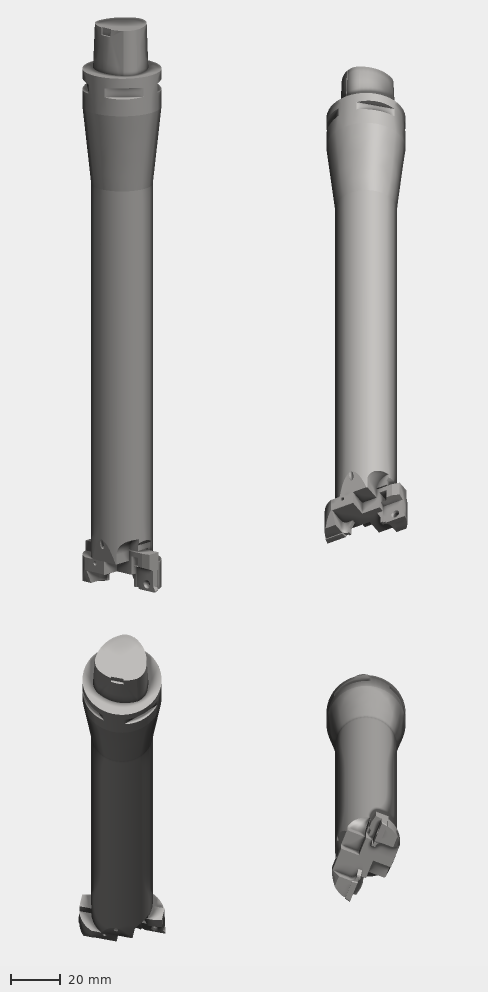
import cadquery as cq
import math

STATION_ANGLES = (0, 180)
CLEAR = 47.0

TOTAL_HEIGHT = 235.0
BAR_DIAMETER = 25.0
COLLAR_DIAMETER = 32.0
BAR_BOTTOM = 12.0
CONE_BOTTOM = 168.3
COLLAR_BOTTOM = 200.7
COLLAR_TOP = 216.5
BAR_RADIUS = BAR_DIAMETER / 2
COLLAR_RADIUS = COLLAR_DIAMETER / 2

TAPER_WIDTH = 22.3
TAPER_TOP_WIDTH = 21.0
LOBE_CENTRE_RATIO = 0.27
LOBE_RADIUS_RATIO = 0.26
LOBE_ANGLES = (90, 210, 330)
ARC_HALF_SPAN = 30
KEY_WIDTH = 5.2
KEY_HEIGHT = 3.0
KEY_FLOOR = 9.0

NOTCH_ANGLES = (45, 135, 225, 315)
NOTCH_TOP = 212.5
NOTCH_BOTTOM = 207.7
NOTCH_DRAFT = 0.5
NOTCH_FLOOR = 13.9

FLAT_TOP = 21.5
FLAT_BOTTOM_DISTANCE = 10.8
COOLANT_DIAMETER = 1.9
COOLANT_Z = 19.5
COOLANT_TILT = 55.0

POCKET_WALL = 6.5
POCKET_RADIUS = 5.9
POCKET_ARC_Z = 16.2
RELIEF_X = 11.3
RELIEF_SIDE = 4.7
RELIEF_TOP = 21.0
RELIEF_SLOPE_BOTTOM = 19.3
SLOT_TOP = 17.0

CARTRIDGE_RADIUS = 11.8
CARTRIDGE_OFFSET = 5.6
CARTRIDGE_BOTTOM = 0.7
CARTRIDGE_HALF_WIDTH = 10.8
CHAMFER_TOP = 6.5
BOTTOM_HALF_WIDTH = 8.0
ARCH_TOP = 6.3
ARCH_TOP_HALF_WIDTH = 5.5
ARCH_BEND_Z = 3.3
ARCH_HALF_WIDTH = 7.0
LEG_SCOOP_X = 9.6
LEG_SCOOP_Y = 1.2
LEG_SCOOP_RADIUS = 2.0
RIB_FRONT = -0.5
RIM_WIDTH = 2.5
GULLET_WALL = 8.0
SEAT_TOP = 9.0
SEAT_SLOPE_TOP = 10.3
SCREW_HOLE_DIAMETER = 1.6
SCREW_HOLE_X = 5.0
SCREW_HOLE_Z = 10.3
SCREW_HOLE_DEPTH = 2.4

TONGUE_FRONT = -3.0
TONGUE_TIP_FRONT = -2.4
TONGUE_BACK = 3.0
TONGUE_BEND = 13.6
TONGUE_TIP = 17.0
TONGUE_TOP = 16.2
TONGUE_NOTCH_END = 11.3
TONGUE_NOTCH_DEPTH = 4.7
TONGUE_NOTCH_BOTTOM = 9.9
TONGUE_NOTCH_TOP = 14.0

CUTTING_DIAMETER = 36.0
INSERT_TIP = CUTTING_DIAMETER / 2
INSERT_SIDE = 9.6
INSERT_CORNER_RADIUS = 0.5
INSERT_THICKNESS = 2.4
INSERT_RELIEF = 7.0
INSERT_HOLE_DIAMETER = 2.5
INSERT_SINK_DIAMETER = 3.5
INSERT_SINK_ANGLE = 60.0


def block(x0, x1, y0, y1, z0, z1):
    """Axis-aligned box between the given limits."""
    return cq.Workplane("XY").box(x1 - x0, y1 - y0, z1 - z0, centered=False).translate((x0, y0, z0))


def prism_along_y(points, y0, y1):
    """Extrude an (x, z) outline from y0 to y1."""
    return cq.Workplane("XZ", origin=(0, y0, 0)).polyline(points).close().extrude(y0 - y1)


def prism_along_x(points, x0, x1):
    """Extrude a (y, z) outline from x0 to x1."""
    return cq.Workplane("YZ", origin=(x0, 0, 0)).polyline(points).close().extrude(x1 - x0)


def about_axis(body, angle):
    return body.rotate((0, 0, 0), (0, 0, 1), angle)



def lobed_outline(plane, width):
    """Constant-width outline: a lobe arc at each lobe, a flank arc opposite to it."""
    lobe_centre = LOBE_CENTRE_RATIO * width
    lobe_radius = LOBE_RADIUS_RATIO * width
    flank_radius = width - lobe_radius

    def on_arc(lobe_angle, radius, direction):
        lobe = math.radians(lobe_angle)
        normal = math.radians(direction)
        return (lobe_centre * math.cos(lobe) + radius * math.cos(normal),
                lobe_centre * math.sin(lobe) + radius * math.sin(normal))

    outline = plane.moveTo(*on_arc(LOBE_ANGLES[0], lobe_radius, LOBE_ANGLES[0] - ARC_HALF_SPAN))
    for angle in LOBE_ANGLES:
        lobe_end = angle + ARC_HALF_SPAN
        outline = outline.threePointArc(on_arc(angle, lobe_radius, angle),
                                        on_arc(angle, lobe_radius, lobe_end))
        flank_middle = lobe_end + ARC_HALF_SPAN
        flank_end = flank_middle + ARC_HALF_SPAN
        across = flank_middle + 180
        outline = outline.threePointArc(on_arc(across, flank_radius, flank_middle),
                                        on_arc(across, flank_radius, flank_end))
    return outline.close()


def make_taper():
    base = lobed_outline(cq.Workplane("XY", origin=(0, 0, COLLAR_TOP)), TAPER_WIDTH)
    top_plane = base.workplane(offset=TOTAL_HEIGHT - COLLAR_TOP)
    taper = lobed_outline(top_plane, TAPER_TOP_WIDTH).loft(ruled=True)
    key = block(-KEY_WIDTH / 2, KEY_WIDTH / 2, -CLEAR, -KEY_FLOOR, TOTAL_HEIGHT - KEY_HEIGHT, TOTAL_HEIGHT)
    return taper.cut(key)


def make_bar():
    profile = [
        (0, BAR_BOTTOM), (BAR_RADIUS, BAR_BOTTOM), (BAR_RADIUS, CONE_BOTTOM),
        (COLLAR_RADIUS, COLLAR_BOTTOM), (COLLAR_RADIUS, COLLAR_TOP), (0, COLLAR_TOP),
    ]
    return cq.Workplane("XZ").polyline(profile).close().revolve(360, (0, 0, 0), (0, 1, 0))


def gripper_notch():
    """Straight notch across the collar, slightly narrower in height at its floor."""
    profile = [
        (NOTCH_FLOOR, NOTCH_TOP - NOTCH_DRAFT), (NOTCH_FLOOR, NOTCH_BOTTOM + NOTCH_DRAFT),
        (COLLAR_RADIUS, NOTCH_BOTTOM), (COLLAR_RADIUS, NOTCH_TOP),
    ]
    return prism_along_y(profile, -CLEAR, CLEAR)


def coolant_flat():
    """Sloped flat on the -Y side, with an oblique coolant outlet near its top."""
    wedge = prism_along_x(
        [(-BAR_RADIUS, FLAT_TOP), (-FLAT_BOTTOM_DISTANCE, BAR_BOTTOM), (-BAR_RADIUS, BAR_BOTTOM)],
        -CLEAR, CLEAR)
    tilt = math.radians(COOLANT_TILT)
    inward = cq.Vector(0, math.cos(tilt), -math.sin(tilt))
    slope = (BAR_RADIUS - FLAT_BOTTOM_DISTANCE) / (FLAT_TOP - BAR_BOTTOM)
    mouth = cq.Vector(0, -BAR_RADIUS + slope * (FLAT_TOP - COOLANT_Z), COOLANT_Z)
    hole = cq.Solid.makeCylinder(COOLANT_DIAMETER / 2, 2 * COOLANT_DIAMETER,
                                 mouth - inward * COOLANT_DIAMETER, inward)
    return wedge.add(hole).combine()


def chip_pocket():
    """Round-topped pocket on the -Y side of a station."""
    arc_x = POCKET_WALL + POCKET_RADIUS
    arc_start = (POCKET_WALL, POCKET_ARC_Z)
    arc_middle = (arc_x - POCKET_RADIUS * math.sqrt(0.5), POCKET_ARC_Z + POCKET_RADIUS * math.sqrt(0.5))
    arc_end = (arc_x, POCKET_ARC_Z + POCKET_RADIUS)
    return (cq.Workplane("XZ", origin=(0, TONGUE_FRONT, 0))
            .moveTo(POCKET_WALL, 0).lineTo(*arc_start).threePointArc(arc_middle, arc_end)
            .lineTo(arc_x, 0).close().extrude(CLEAR))


def tongue_relief():
    """Flat beside and above the tongue, with a sloped run-out at its top."""
    profile = [
        (RELIEF_X, 0), (RELIEF_X, RELIEF_SLOPE_BOTTOM), (BAR_RADIUS, RELIEF_TOP), (BAR_RADIUS, 0),
    ]
    return prism_along_y(profile, TONGUE_FRONT, RELIEF_SIDE)


def make_holder():
    holder = make_bar().union(make_taper())
    for angle in NOTCH_ANGLES:
        holder = holder.cut(about_axis(gripper_notch(), angle))
    tongue_slot = block(POCKET_WALL, CLEAR, TONGUE_FRONT, TONGUE_BACK, 0, SLOT_TOP)
    for angle in STATION_ANGLES:
        for feature in (coolant_flat(), chip_pocket(), tongue_relief(), tongue_slot):
            holder = holder.cut(about_axis(feature, angle))
    return holder



INSERT_INRADIUS = INSERT_SIDE / (2 * math.sqrt(3))
INSERT_CORNER_LOSS = INSERT_CORNER_RADIUS * (math.sqrt(3) - 1)
INSERT_CENTRE_X = INSERT_TIP + INSERT_CORNER_LOSS - INSERT_SIDE / 2


def insert_blank():
    """Rounded triangle with its cutting face at Y = 0 and its point up, tapered toward the back."""
    left = INSERT_CENTRE_X - INSERT_SIDE / 2
    right = INSERT_CENTRE_X + INSERT_SIDE / 2
    return (cq.Workplane("XZ")
            .polyline([(left, 0), (right, 0), (INSERT_CENTRE_X, 3 * INSERT_INRADIUS)]).close()
            .extrude(-INSERT_THICKNESS, taper=INSERT_RELIEF)
            .edges("not(#Y)").fillet(INSERT_CORNER_RADIUS))


def make_insert():
    """Insert with a countersunk screw hole at its centre."""
    return (insert_blank().copyWorkplane(cq.Workplane("XZ")).center(INSERT_CENTRE_X, INSERT_INRADIUS)
            .cskHole(INSERT_HOLE_DIAMETER, INSERT_SINK_DIAMETER, INSERT_SINK_ANGLE))



def make_tongue():
    outline = [
        (POCKET_WALL, TONGUE_FRONT), (TONGUE_BEND, TONGUE_FRONT), (TONGUE_TIP, TONGUE_TIP_FRONT),
        (TONGUE_TIP, TONGUE_BACK), (POCKET_WALL, TONGUE_BACK),
    ]
    height = TONGUE_TOP - SEAT_TOP
    tongue = cq.Workplane("XY", origin=(0, 0, SEAT_TOP)).polyline(outline).close().extrude(height)
    notch_outline = [
        (GULLET_WALL, TONGUE_FRONT), (TONGUE_NOTCH_END, TONGUE_FRONT),
        (GULLET_WALL, TONGUE_FRONT + TONGUE_NOTCH_DEPTH),
    ]
    notch = (cq.Workplane("XY", origin=(0, 0, TONGUE_NOTCH_BOTTOM))
             .polyline(notch_outline).close().extrude(TONGUE_NOTCH_TOP - TONGUE_NOTCH_BOTTOM))
    return tongue.cut(notch)


def make_cartridge():
    """Half bridge from the tool axis outward, with its leg, tongue, chip gullet and insert pocket."""
    round_face = (cq.Workplane("XY").center(CARTRIDGE_OFFSET, 0)
                  .circle(CARTRIDGE_RADIUS).extrude(BAR_BOTTOM))
    inner = block(0, CARTRIDGE_OFFSET, -CARTRIDGE_HALF_WIDTH, CARTRIDGE_HALF_WIDTH, 0, BAR_BOTTOM)
    section = [
        (-BOTTOM_HALF_WIDTH, CARTRIDGE_BOTTOM), (BOTTOM_HALF_WIDTH, CARTRIDGE_BOTTOM),
        (CARTRIDGE_HALF_WIDTH, CHAMFER_TOP), (CARTRIDGE_HALF_WIDTH, BAR_BOTTOM),
        (-CARTRIDGE_HALF_WIDTH, BAR_BOTTOM), (-CARTRIDGE_HALF_WIDTH, CHAMFER_TOP),
    ]
    body = round_face.union(inner).intersect(prism_along_x(section, 0, CLEAR))

    arch = prism_along_y(
        [(0, 0), (ARCH_HALF_WIDTH, 0), (ARCH_HALF_WIDTH, ARCH_BEND_Z),
         (ARCH_TOP_HALF_WIDTH, ARCH_TOP), (0, ARCH_TOP)],
        -CLEAR, CLEAR)
    gullet = block(0, CLEAR, -CLEAR, TONGUE_FRONT, 0, BAR_BOTTOM)
    tongue_space = block(GULLET_WALL, CLEAR, -CLEAR, TONGUE_BACK, SEAT_TOP, BAR_BOTTOM)
    rib_face = block(0, GULLET_WALL, -CLEAR, RIB_FRONT, 0, ARCH_TOP)
    rim = block(TONGUE_TIP, CLEAR, -CLEAR, RIM_WIDTH, 0, SEAT_TOP)
    leg_scoop = (block(0, LEG_SCOOP_X, LEG_SCOOP_Y, CLEAR, 0, ARCH_TOP)
                 .edges("|Z and >X and <Y").fillet(LEG_SCOOP_RADIUS))
    screw_hole = (cq.Workplane("XZ", origin=(0, CARTRIDGE_HALF_WIDTH, 0))
                  .center(SCREW_HOLE_X, SCREW_HOLE_Z)
                  .circle(SCREW_HOLE_DIAMETER / 2).extrude(SCREW_HOLE_DEPTH))
    seat = prism_along_x(
        [(-CLEAR, 0), (0, 0), (0, SEAT_TOP),
         (TONGUE_FRONT, SEAT_SLOPE_TOP), (-CLEAR, SEAT_SLOPE_TOP)],
        GULLET_WALL, CLEAR)
    for cutter in (arch, gullet, tongue_space, rib_face, rim, leg_scoop, screw_hole):
        body = body.cut(cutter)
    return body.union(make_tongue()).cut(seat).cut(insert_blank())


holder = make_holder()
cartridges = [about_axis(make_cartridge(), angle) for angle in STATION_ANGLES]
inserts = [about_axis(make_insert(), angle) for angle in STATION_ANGLES]

result = cq.Compound.makeCompound([
    *holder.solids().vals(),
    *[cartridge.solids().val() for cartridge in cartridges],
    *[insert.solids().val() for insert in inserts],
])